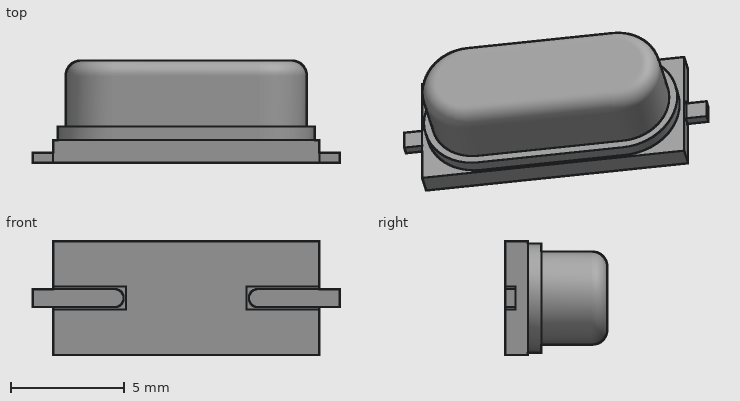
import cadquery as cq


total_length = 13.5
total_depth = 4.5
mounting_face_y = -total_depth / 2

base_length = 11.7
base_width = 5.0
base_thickness = 1.0

lead_length = 4.0
lead_width = 0.8
lead_thickness = 0.45
lead_outer_x = total_length / 2
lead_inner_x = lead_outer_x - lead_length

slot_clearance = 0.1
slot_inner_x = lead_inner_x - slot_clearance
slot_width = lead_width + 2 * slot_clearance

end_centre_spacing = 6.5
flange_width = 4.8
flange_thickness = 0.6
can_width = 4.1
can_height = total_depth - base_thickness - flange_thickness
can_edge_radius = 0.68

base_top_y = mounting_face_y + base_thickness
flange_top_y = base_top_y + flange_thickness


def block(x_min, x_max, width, y_min, thickness):
    """Box from x_min to x_max, centred on Z, rising in +Y from y_min."""
    return (
        cq.Workplane("XY")
        .box(x_max - x_min, thickness, width, centered=(False, False, True))
        .translate((x_min, y_min, 0))
    )


def rounded_bar(width, y_min, height):
    """Bar with full-round ends about the end centres, rising in +Y from y_min."""
    return (
        cq.Workplane("XZ", origin=(0, y_min, 0))
        .slot2D(end_centre_spacing + width, width)
        .extrude(-height)
    )


def make_base():
    """Rectangular plate with a lead slot open at each end."""
    half_length = base_length / 2
    base = block(-half_length, half_length, base_width, mounting_face_y, base_thickness)
    slot = block(slot_inner_x, half_length, slot_width, mounting_face_y, lead_thickness)
    return base.cut(slot).cut(slot.mirror("YZ"))


def make_can():
    """Flanged can with a rounded top edge."""
    flange = rounded_bar(flange_width, base_top_y, flange_thickness)
    cap = rounded_bar(can_width, flange_top_y, can_height).faces(">Y").edges().fillet(can_edge_radius)
    return flange.union(cap)


def make_lead(side):
    """Flat strip with a full-round inner end; side is +1 or -1 along X."""
    end_radius = lead_width / 2
    round_start_x = lead_inner_x + end_radius
    return (
        cq.Workplane("XZ", origin=(0, mounting_face_y, 0))
        .moveTo(side * lead_outer_x, -end_radius)
        .lineTo(side * round_start_x, -end_radius)
        .threePointArc((side * lead_inner_x, 0), (side * round_start_x, end_radius))
        .lineTo(side * lead_outer_x, end_radius)
        .close()
        .extrude(-lead_thickness)
    )


base = make_base()
can = make_can()
leads = [make_lead(side) for side in (-1, 1)]

result = cq.Compound.makeCompound([base.val(), can.val(), *[lead.val() for lead in leads]])